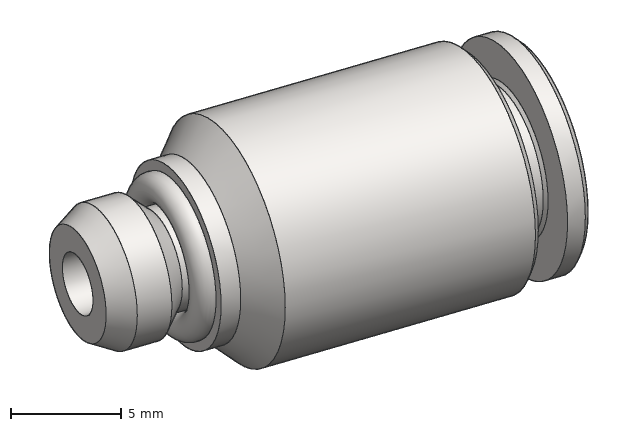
import cadquery as cq

length = 23.2

bore_radius = 1.5
tip_end_radius = 2.8
tip_radius = 3.5
groove_radius = 2.5
seal_radius = 4.01
collar_radius = 4.5
body_radius = 12.0 / 2
shoulder_radius = 4.5
neck_radius = 3.67
neck_root_radius = 3.83
flange_radius = 5.75

tip_taper_length = 1.23
tip_land_length = 1.76
tip_flare_length = 1.05
groove_length = 0.95
collar_length = 1.0
body_length = 14.55
flange_thickness = 1.2
neck_root_length = 0.16
shoulder_height = 0.16

seal_section_radius = 0.75
seal_offset = 0.16
edge_chamfer = 0.3

tip_end = -length / 2
tip_land_start = tip_end + tip_taper_length
tip_land_end = tip_land_start + tip_land_length
groove_start = tip_land_end + tip_flare_length
collar_start = groove_start + groove_length
collar_end = collar_start + collar_length
body_taper_end = collar_end + body_radius - collar_radius
body_end = collar_end + body_length
flange_end = length / 2
flange_start = flange_end - flange_thickness


def revolve_about_y(profile):
    """Turn a closed profile fully around the part axis."""
    return profile.revolve(360, (0, 0, 0), (0, 1, 0), clean=False)


def make_turned_body():
    """Fitting with its bore, given as radius and axial position."""
    outline = [
        (bore_radius, tip_end),
        (tip_end_radius, tip_end),
        (tip_radius, tip_land_start),
        (tip_radius, tip_land_end),
        (groove_radius, groove_start),
        (groove_radius, collar_start),
        (collar_radius, collar_start),
        (collar_radius, collar_end),
        (body_radius, body_taper_end),
        (body_radius, body_end - edge_chamfer),
        (body_radius - edge_chamfer, body_end),
        (shoulder_radius, body_end),
        (neck_radius, body_end + shoulder_height),
        (neck_radius, flange_start - neck_root_length),
        (neck_root_radius, flange_start),
        (flange_radius, flange_start),
        (flange_radius, flange_end - edge_chamfer),
        (flange_radius - edge_chamfer, flange_end),
        (bore_radius, flange_end),
    ]
    return revolve_about_y(cq.Workplane("XY").polyline(outline).close())


def make_seal_ring():
    """O-ring in the groove, seated into the collar face."""
    inner_radius = seal_radius - 2 * seal_section_radius
    centre_radius = seal_radius - seal_section_radius
    centre_y = collar_start - seal_offset
    section = (
        cq.Workplane("XY")
        .moveTo(centre_radius, centre_y + seal_section_radius)
        .threePointArc((seal_radius, centre_y), (centre_radius, centre_y - seal_section_radius))
        .threePointArc((inner_radius, centre_y), (centre_radius, centre_y + seal_section_radius))
        .close()
    )
    return revolve_about_y(section)


result = make_turned_body().union(make_seal_ring())